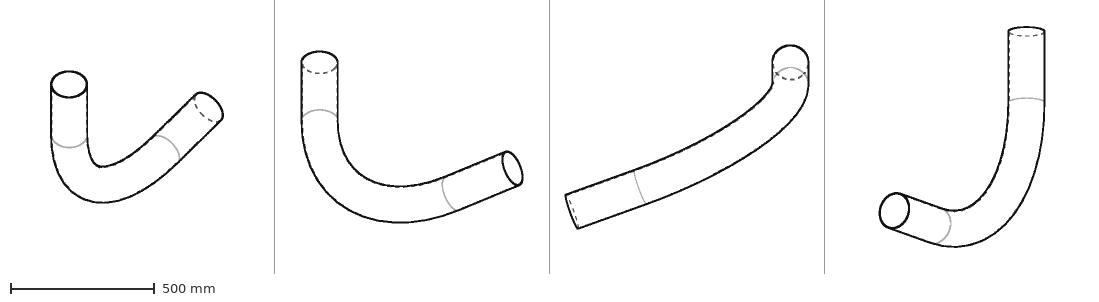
import cadquery as cq

overall_length = 876.0
outer_diameter = 127.0
inner_diameter = 121.0
straight_length = 254.0

outer_radius = outer_diameter / 2
inner_radius = inner_diameter / 2
bend_radius = overall_length - outer_radius - straight_length
bend_angle = 90


def tube_section(workplane):
    """Draw the annular cross-section of the pipe wall."""
    return workplane.circle(outer_radius).circle(inner_radius)


bend_start = cq.Workplane("XY", origin=(0, 0, bend_radius))
bend = tube_section(bend_start).revolve(bend_angle, (0, bend_radius), (1, bend_radius))

upright_leg = tube_section(bend_start).extrude(straight_length)

bend_end = cq.Workplane("XZ", origin=(0, bend_radius, 0))
level_leg = tube_section(bend_end).extrude(-straight_length)

centre_shift = outer_radius - overall_length / 2
result = bend.union(upright_leg).union(level_leg).translate((0, centre_shift, centre_shift))